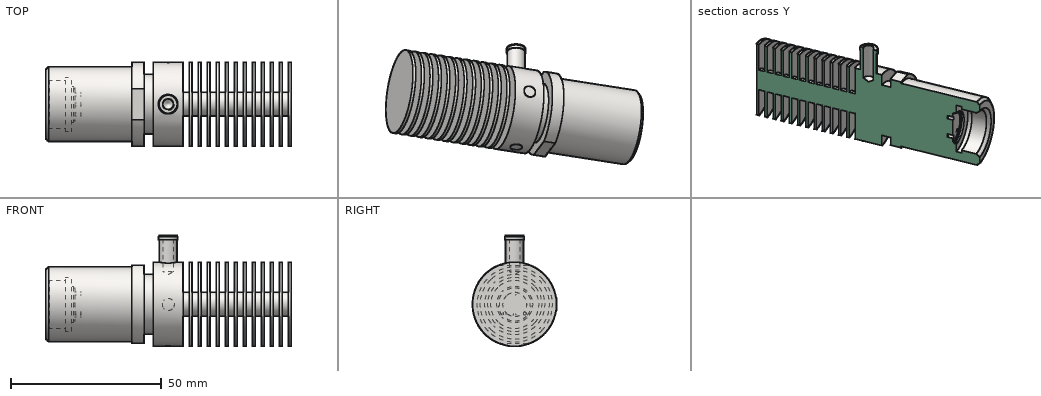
import cadquery as cq
import math

SLEEVE_RADIUS = 12.5
SLEEVE_END = 28.73
SLEEVE_CHAMFER = 1.0
COLLAR_RADIUS = 14.0
COLLAR_WIDTH = 4.0
COLLAR_FLAT_HEIGHT = 13.0
NECK_RADIUS = 10.0
NECK_LENGTH = 3.0
BLOCK_RADIUS = 14.0
BLOCK_LENGTH = 10.0

CORE_RADIUS = 4.0
FIN_RADIUS = 14.0
FIN_COUNT = 12
FIN_THICKNESS = 1.0
FIN_PITCH = 3.0
FIRST_FIN_GAP = 2.0

PORT_RADIUS = 3.0
PORT_TOP = 23.0
PORT_LIP_RADIUS = 3.25
PORT_LIP_HEIGHT = 1.5
PORT_LIP_CHAMFER = 0.5
PORT_BORE_RADIUS = 1.75
PORT_BORE_BOTTOM = 11.0
DRILL_POINT_ANGLE = 118.0

PLUG_RADIUS = 2.0
PLUG_LENGTH = 5.0

MOUTH_RADIUS = 9.0
TAPER_RADIUS = 8.5
TAPER_DEPTH = 0.5
BORE_RADIUS = 8.0
BORE_START = 1.25
BORE_END = 6.6
UNDERCUT_RADIUS = 9.0
UNDERCUT_END = 8.5
SEAT_RADIUS = 6.0
SEAT_DEPTH = 0.75
INSERT_RADIUS = 5.5
INSERT_DEPTH = 0.5
KEY_HEIGHT = 1.0
KEY_PROTRUSION = 0.4
CONTACT_RADIUS = 0.5
CONTACT_DEPTH = 2.0
CONTACT_CENTRES = [(0, 3.6), (0, -3.6), (3.35, -3.0), (-3.35, -3.0)]

COLLAR_END = SLEEVE_END + COLLAR_WIDTH
BLOCK_START = COLLAR_END + NECK_LENGTH
BLOCK_END = BLOCK_START + BLOCK_LENGTH
PORT_X = (BLOCK_START + BLOCK_END) / 2
FIRST_FIN_START = BLOCK_END + FIRST_FIN_GAP
LAST_FIN_START = FIRST_FIN_START + (FIN_COUNT - 1) * FIN_PITCH
SEAT_FLOOR = UNDERCUT_END + SEAT_DEPTH
INSERT_FLOOR = SEAT_FLOOR + INSERT_DEPTH


def disc(radius, start, end):
    """Cylinder about the X axis between two X positions."""
    return cq.Workplane("YZ", origin=(start, 0, 0)).circle(radius).extrude(end - start)


def make_sleeve():
    return disc(SLEEVE_RADIUS, 0, SLEEVE_END).faces("<X").chamfer(SLEEVE_CHAMFER)


def make_collar():
    """Collar with two wrench flats, above and below."""
    flats = cq.Workplane("XY", origin=(SLEEVE_END + COLLAR_WIDTH / 2, 0, 0)).box(
        COLLAR_WIDTH, 2 * COLLAR_RADIUS, 2 * COLLAR_FLAT_HEIGHT
    )
    return disc(COLLAR_RADIUS, SLEEVE_END, COLLAR_END).intersect(flats)


def make_fins():
    fins = disc(CORE_RADIUS, BLOCK_END, LAST_FIN_START)
    for index in range(FIN_COUNT):
        start = FIRST_FIN_START + index * FIN_PITCH
        fins = fins.union(disc(FIN_RADIUS, start, start + FIN_THICKNESS))
    return fins


def make_port():
    """Hose spigot standing on the block, with a chamfered lip."""
    stem = cq.Workplane("XY", origin=(PORT_X, 0, 0)).circle(PORT_RADIUS).extrude(PORT_TOP)
    lip = (
        cq.Workplane("XY", origin=(PORT_X, 0, PORT_TOP - PORT_LIP_HEIGHT))
        .circle(PORT_LIP_RADIUS)
        .extrude(PORT_LIP_HEIGHT)
        .faces(">Z")
        .chamfer(PORT_LIP_CHAMFER)
    )
    return stem.union(lip)


def make_port_bore():
    """Drilled hole with a conical bottom."""
    tip_depth = PORT_BORE_RADIUS / math.tan(math.radians(DRILL_POINT_ANGLE / 2))
    return (
        cq.Workplane("XZ", origin=(PORT_X, 0, 0))
        .moveTo(0, PORT_TOP)
        .lineTo(PORT_BORE_RADIUS, PORT_TOP)
        .lineTo(PORT_BORE_RADIUS, PORT_BORE_BOTTOM)
        .lineTo(0, PORT_BORE_BOTTOM - tip_depth)
        .close()
        .revolve(360, (0, 0, 0), (0, 1, 0))
    )


def make_lower_plug():
    """Radial plug whose flat end touches the block outline on the -Z side."""
    return (
        cq.Workplane("XY", origin=(PORT_X, 0, -BLOCK_RADIUS))
        .circle(PLUG_RADIUS)
        .extrude(PLUG_LENGTH)
    )


def make_side_plug():
    """The same plug turned about the X axis to the +Y side."""
    return make_lower_plug().rotate((0, 0, 0), (1, 0, 0), 90)


def make_socket():
    """Stepped connector cavity, tapered in two steps at the mouth and undercut behind the bore."""
    return (
        cq.Workplane("XY")
        .lineTo(0, MOUTH_RADIUS)
        .lineTo(TAPER_DEPTH, TAPER_RADIUS)
        .lineTo(BORE_START, BORE_RADIUS)
        .lineTo(BORE_END, BORE_RADIUS)
        .lineTo(BORE_END, UNDERCUT_RADIUS)
        .lineTo(UNDERCUT_END, UNDERCUT_RADIUS)
        .lineTo(UNDERCUT_END, SEAT_RADIUS)
        .lineTo(SEAT_FLOOR, SEAT_RADIUS)
        .lineTo(SEAT_FLOOR, INSERT_RADIUS)
        .lineTo(INSERT_FLOOR, INSERT_RADIUS)
        .lineTo(INSERT_FLOOR, 0)
        .close()
        .revolve(360, (0, 0, 0), (1, 0, 0))
    )


def make_keys():
    """Two small locating keys on opposite sides of the insert wall."""
    key_span = 2 * INSERT_RADIUS
    bar = cq.Workplane("XY").box(INSERT_DEPTH, key_span, KEY_HEIGHT)
    gap = cq.Workplane("XY").box(INSERT_DEPTH, key_span - 2 * KEY_PROTRUSION, KEY_HEIGHT)
    return bar.cut(gap).translate((SEAT_FLOOR + INSERT_DEPTH / 2, 0, 0))


def make_contacts():
    return (
        cq.Workplane("YZ", origin=(INSERT_FLOOR, 0, 0))
        .pushPoints(CONTACT_CENTRES)
        .circle(CONTACT_RADIUS)
        .extrude(CONTACT_DEPTH)
    )


result = (
    make_sleeve()
    .union(make_collar())
    .union(disc(NECK_RADIUS, COLLAR_END, BLOCK_START))
    .union(disc(BLOCK_RADIUS, BLOCK_START, BLOCK_END))
    .union(make_fins())
    .union(make_port())
    .union(make_lower_plug())
    .union(make_side_plug())
    .cut(make_port_bore())
    .cut(make_socket().cut(make_keys()))
    .cut(make_contacts())
)